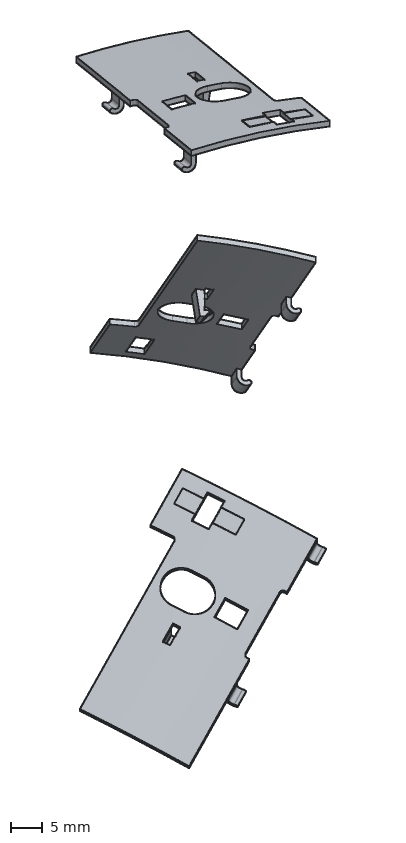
import cadquery as cq
import math

length = 42.6
front_y = 1.6
rear_y = 21.0
tab_rear_y = 25.55
tab_left_x = 32.05
top_z = 5.62
crest_y = 17.9
outer_radius = 124.4
thickness = 1.0
inner_radius = outer_radius - thickness
corner_radius = 0.6

notch_left_x = 20.05
notch_right_x = 32.6
notch_depth = 1.0

window = (23.4, 26.95, 5.55, 9.6)
tab_opening = (35.7, 41.0, 17.15, 20.2)
latch_slot = (15.95, 19.35, 13.5, 14.8)
oval = (21.9, 28.4, 10.8, 19.7)

strip = (36.9, 39.8, 13.0, 23.95)
strip_floor_z = 5.45

latch_left_x = 16.5
latch_width = 2.3
latch_front_y = latch_slot[3]
latch_root_depth = 1.45
latch_tip_depth = 0.75
toe_reach = 0.95
toe_top_z = 1.2
toe_edge_height = 0.2

hook_width = 2.85
hook_left_edges = (13.1, length - hook_width)
hook_thickness = 0.8
hook_inner_radius = 0.6
hook_center_z = 2.35


def arch_z(radius, y):
    """Height of an arch surface that is concentric with the top of the plate."""
    return top_z - outer_radius + math.sqrt(radius**2 - (y - crest_y) ** 2)


def box_between(bounds, bottom_z, upper_z):
    x_min, x_max, y_min, y_max = bounds
    size = (x_max - x_min, y_max - y_min, upper_z - bottom_z)
    return cq.Workplane("XY").box(*size, centered=False).translate((x_min, y_min, bottom_z))


def make_arched_sheet():
    middle_y = (front_y + tab_rear_y) / 2
    return (
        cq.Workplane("YZ")
        .moveTo(front_y, arch_z(inner_radius, front_y))
        .lineTo(front_y, arch_z(outer_radius, front_y))
        .threePointArc(
            (middle_y, arch_z(outer_radius, middle_y)),
            (tab_rear_y, arch_z(outer_radius, tab_rear_y)),
        )
        .lineTo(tab_rear_y, arch_z(inner_radius, tab_rear_y))
        .threePointArc(
            (middle_y, arch_z(inner_radius, middle_y)),
            (front_y, arch_z(inner_radius, front_y)),
        )
        .close()
        .extrude(length)
    )


def make_outline_prism():
    """Plan outline of the plate, with rounded inner corners."""
    notch_y = front_y + notch_depth
    prism = (
        cq.Workplane("XY")
        .polyline([
            (0, front_y),
            (notch_left_x, front_y),
            (notch_left_x, notch_y),
            (notch_right_x, notch_y),
            (notch_right_x, front_y),
            (length, front_y),
            (length, tab_rear_y),
            (tab_left_x, tab_rear_y),
            (tab_left_x, rear_y),
            (0, rear_y),
        ])
        .close()
        .extrude(top_z)
    )
    inner_corners = [(notch_left_x, notch_y), (notch_right_x, notch_y), (tab_left_x, rear_y)]
    for x, y in inner_corners:
        corner_edge = cq.selectors.NearestToPointSelector((x, y, top_z / 2))
        prism = prism.edges("|Z").edges(corner_edge).fillet(corner_radius)
    return prism


def make_oval_cutter():
    x_min, x_max, y_min, y_max = oval
    return (
        cq.Workplane("XY")
        .center((x_min + x_max) / 2, (y_min + y_max) / 2)
        .slot2D(y_max - y_min, x_max - x_min, 90)
        .extrude(top_z)
    )


def make_plate():
    plate = make_arched_sheet().intersect(make_outline_prism())
    for opening in (window, tab_opening, latch_slot):
        plate = plate.cut(box_between(opening, 0, top_z))
    plate = plate.cut(make_oval_cutter())
    return plate.cut(box_between(strip, strip_floor_z, top_z)).solids()


def make_latch(plate):
    """Tapered leg with a toe pointing forward, its top fitted to the underside of the plate."""
    root_z = top_z - thickness / 2
    seat_z = arch_z(inner_radius, latch_front_y)
    rear_root_y = latch_front_y + latch_root_depth
    toe_y = latch_front_y - toe_reach
    leg = (
        cq.Workplane("YZ", origin=(latch_left_x, 0, 0))
        .polyline([
            (latch_front_y, 0),
            (toe_y, toe_top_z - toe_edge_height),
            (toe_y, toe_top_z),
            (latch_front_y, toe_top_z),
            (latch_front_y, root_z),
            (rear_root_y, root_z),
            (rear_root_y, seat_z),
            (latch_front_y + latch_tip_depth, 0),
        ])
        .close()
        .extrude(latch_width)
    )
    return leg.cut(plate).solids()


def make_hook(plate, left_x):
    """Strip that drops from the front edge and curls forward to a rounded tip at y = 0."""
    tip_radius = hook_thickness / 2
    middle_radius = hook_inner_radius + tip_radius
    outer_curl_radius = hook_inner_radius + hook_thickness
    center_y = front_y - hook_inner_radius
    root_z = arch_z(inner_radius, front_y) + thickness / 2
    tip_angle = -math.pi + math.acos((center_y - tip_radius) / middle_radius)
    half_angle = tip_angle / 2

    def curl_point(radius, angle):
        return (center_y + radius * math.cos(angle), hook_center_z + radius * math.sin(angle))

    tip_y, tip_z = curl_point(middle_radius, tip_angle)
    tip_end = (
        tip_y + tip_radius * math.sin(tip_angle),
        tip_z - tip_radius * math.cos(tip_angle),
    )
    hook = (
        cq.Workplane("YZ", origin=(left_x, 0, 0))
        .moveTo(front_y, root_z)
        .lineTo(front_y, hook_center_z)
        .threePointArc(
            curl_point(hook_inner_radius, half_angle),
            curl_point(hook_inner_radius, tip_angle),
        )
        .threePointArc(
            tip_end,
            curl_point(outer_curl_radius, tip_angle),
        )
        .threePointArc(
            curl_point(outer_curl_radius, half_angle),
            curl_point(outer_curl_radius, 0),
        )
        .lineTo(front_y + hook_thickness, root_z)
        .close()
        .extrude(hook_width)
    )
    return hook.cut(plate).solids()


plate = make_plate()
latch = make_latch(plate)
hooks = [make_hook(plate, left_x) for left_x in hook_left_edges]

result = cq.Compound.makeCompound([plate.val(), latch.val(), *[hook.val() for hook in hooks]])